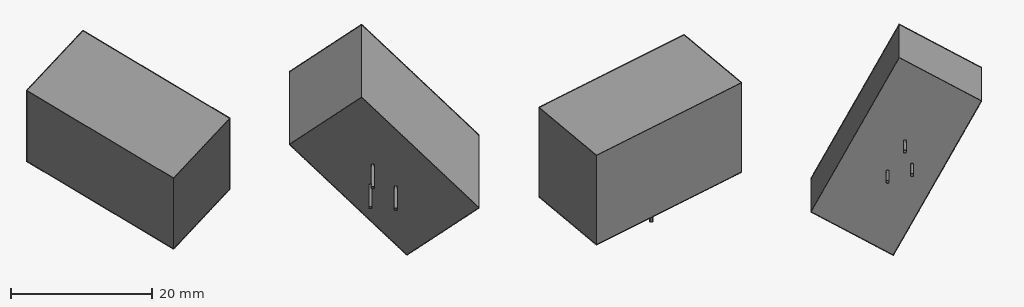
import cadquery as cq

housing_length = 26.0
housing_width = 13.3
total_height = 21.7

pin_diameter = 0.45
pin_length = 5.1
pin_pitch = 2.55
pin_positions = [(-pin_pitch, 0), (0, pin_pitch), (pin_pitch, 0)]

housing_height = total_height - pin_length


def make_housing():
    """Plain block standing on the plane Z = 0."""
    return cq.Workplane("XY").box(
        housing_length, housing_width, housing_height, centered=(True, True, False)
    )


def make_pin(x, y):
    """Straight round pin hanging from the underside of the housing."""
    return cq.Workplane("XY").center(x, y).circle(pin_diameter / 2).extrude(-pin_length)


housing = make_housing()
pins = [make_pin(x, y) for x, y in pin_positions]

result = cq.Compound.makeCompound([housing.val(), *[pin.val() for pin in pins]])